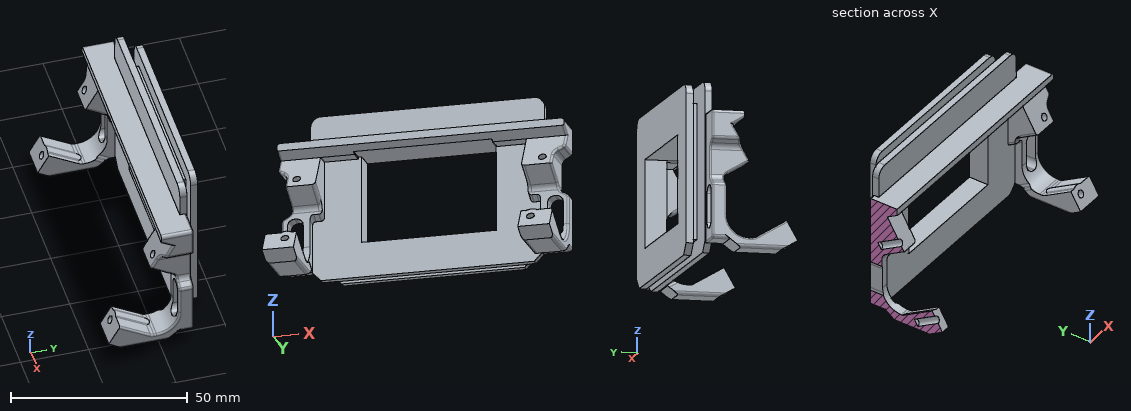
import cadquery as cq
import math

width = 84.4
depth = 29.45
height = 49.0
half_width = width / 2

plate_thickness = 2.1
spacer_thickness = 2.2
rear_width = 59.75
flange_width = 68.7
stack_shift = 0.4
spacer_inset = 5.0
plate_corner = 3.0
window_width = 39.5
window_bottom = 10.4
window_top = 35.9
bar_relief_width = 40.5

tilt = 30.0
bracket_back = -4.55
bar_front = -13.9
bar_top = 39.5
bar_lip = 2.3
notch_depth = 3.3
seat_length = 11.4
web_front = -8.8
web_bottom = 2.4
throat_radius = 2.0
hook_radius = 6.6
hook_center_z = 9.5
hook_tip_z = 2.6
hook_face_length = 6.7
hook_flat_rear = -12.8
web_heel_y = -9.7
block_width = 12.0
web_width = 8.4
hook_width = 9.3
edge_round = 0.6
rear_round = 0.4
corner_round = 1.0

step_level = 12.15
hook_step_level = -2.1

waist_depth = 3.0
waist_top = 31.2
waist_bottom = 18.2
waist_round = 2.0

slot_center = 4.05
slot_width = 4.55
slot_bottom = 5.9
slot_top = 18.2
slot_corner = 2.0
hole_diameter = 2.2
hole_depth = 8.0
hole_center = 6.2
upper_hole_z = 28.0
lower_hole_drop = 2.5
ridge_radius = 2.95

outer_x = -half_width
block_inner_x = outer_x + block_width
block_middle_x = outer_x + block_width / 2
web_inner_x = outer_x + web_width
hook_inner_x = outer_x + hook_width
hole_x = outer_x + hole_center

sin_tilt = math.sin(math.radians(tilt))
cos_tilt = math.cos(math.radians(tilt))
tan_tilt = math.tan(math.radians(tilt))

flange_back = -plate_thickness - spacer_thickness
flange_front = flange_back - plate_thickness

lip_z = bar_top - bar_lip
notch = (bar_front + notch_depth, lip_z - notch_depth * tan_tilt)
seat_tip = (notch[0] - seat_length * sin_tilt, notch[1] - seat_length * cos_tilt)
underside_corner = (web_front, seat_tip[1] - (web_front - seat_tip[0]) * tan_tilt)
hook_tip = (-depth, hook_tip_z)
hook_crest = (hook_tip[0] + hook_face_length * sin_tilt, hook_tip[1] + hook_face_length * cos_tilt)
hook_flat_front = hook_tip[0] + hook_tip[1] / tan_tilt

hook_center_y = web_front - hook_radius
hook_floor_z = hook_center_z - hook_radius
hook_end = (hook_crest[0] + (hook_crest[1] - hook_floor_z) / tan_tilt, hook_floor_z)


def tilted_plane(x, y, z):
    """Plane whose normal leaves the seats (-Y, +Z); its local Y runs along the seat, upward."""
    return cq.Plane(origin=(x, y, z), xDir=(1, 0, 0), normal=(0, -cos_tilt, sin_tilt))


def on_axis(x, level, reach):
    """Point at a height up the seat direction and a reach along the outward mounting axis."""
    return (x, level * sin_tilt - reach * cos_tilt, level * cos_tilt + reach * sin_tilt)


def middle(start, end):
    """Point halfway between two points of the side outline."""
    return ((start[0] + end[0]) / 2, (start[1] + end[1]) / 2)


def fillet_near(body, radius, *points):
    """Fillet, in one operation, the edges closest to the points and the edges tangent to them."""
    selector = cq.selectors.NearestToPointSelector(points[0])
    for point in points[1:]:
        selector = selector + cq.selectors.NearestToPointSelector(point)
    return body.edges(selector).fillet(radius)


def plate(plate_width, center_x, rear_y):
    """Full-height plate with rounded top corners and chamfered bottom corners."""
    body = cq.Workplane("XY").box(plate_width, plate_thickness, height, centered=(True, False, False))
    body = body.edges("|Y and >Z").fillet(plate_corner)
    body = body.edges("|Y and <Z").chamfer(plate_corner)
    return body.translate((center_x, rear_y - plate_thickness, 0))


def plate_stack():
    """Rear plate, spacer and front flange, with a groove left around the spacer."""
    spacer = cq.Workplane("XY").box(
        rear_width - 2 * spacer_inset,
        spacer_thickness,
        height - 2 * spacer_inset,
        centered=(True, False, False),
    )
    spacer = spacer.translate((stack_shift, flange_back, spacer_inset))
    rear = plate(rear_width, stack_shift, 0)
    flange = plate(flange_width, 0, flange_back)
    return rear.union(spacer).union(flange)


def bracket_blank():
    """Side outline of a bracket, swept along X from the left end of the part."""
    arc_reach = hook_radius * math.sqrt(0.5)
    arc_middle = (hook_center_y + arc_reach, hook_center_z - arc_reach)
    return (
        cq.Workplane("YZ", origin=(outer_x, 0, 0))
        .moveTo(bracket_back, bar_top)
        .lineTo(bar_front, bar_top)
        .lineTo(bar_front, lip_z)
        .lineTo(*notch)
        .lineTo(*seat_tip)
        .lineTo(*underside_corner)
        .lineTo(web_front, hook_center_z)
        .threePointArc(arc_middle, (hook_center_y, hook_floor_z))
        .lineTo(*hook_end)
        .lineTo(*hook_crest)
        .lineTo(*hook_tip)
        .lineTo(hook_flat_front, 0)
        .lineTo(hook_flat_rear, 0)
        .lineTo(web_heel_y, web_bottom)
        .lineTo(bracket_back, web_bottom)
        .close()
        .extrude(block_width)
    )


def inner_step_cut():
    """Stepped cut on the inner side, swept along the tilted mounting axis."""
    hook_shoulder_level = hook_step_level - (hook_width - web_width)
    cut = (
        cq.Workplane(tilted_plane(0, 0, 0))
        .moveTo(block_inner_x, step_level)
        .lineTo(web_inner_x, step_level)
        .lineTo(web_inner_x, hook_step_level)
        .lineTo(hook_inner_x, hook_shoulder_level)
        .lineTo(hook_inner_x, -height)
        .lineTo(0, -height)
        .lineTo(0, step_level + 2 * corner_round)
        .lineTo(block_inner_x, step_level + 2 * corner_round)
        .close()
        .extrude(height, both=True)
    )
    return fillet_near(
        cut,
        corner_round,
        on_axis(block_inner_x, step_level, 0),
        on_axis(web_inner_x, step_level, 0),
        on_axis(web_inner_x, hook_step_level, 0),
        on_axis(hook_inner_x, hook_shoulder_level, 0),
    )


def waist_cut():
    """Recess in the outer side between the block and the hook, with sloping ends."""
    run = waist_depth * tan_tilt
    cut = (
        cq.Workplane("XZ")
        .moveTo(outer_x, waist_top)
        .lineTo(outer_x + waist_depth, waist_top - run)
        .lineTo(outer_x + waist_depth, waist_bottom + run)
        .lineTo(outer_x, waist_bottom)
        .close()
        .extrude(depth)
    )
    return cut.edges("|Y and >X").fillet(waist_round)


def slot_cut():
    """Upright slot with rounded corners through the web."""
    slot_height = slot_top - slot_bottom
    slot = cq.Workplane("XY").box(slot_width, -hook_center_y, slot_height, centered=(True, False, False))
    slot = slot.edges("|Y").fillet(slot_corner)
    return slot.translate((outer_x + slot_center, hook_center_y, slot_bottom))


def screw_hole(y, z):
    """Blind hole drilled square into a seat at the given point."""
    return cq.Workplane(tilted_plane(hole_x, y, z)).circle(hole_diameter / 2).extrude(-hole_depth)


def upper_screw_hole():
    """Screw hole in the slanted seat of the block."""
    along = (notch[1] - upper_hole_z) * tan_tilt
    return screw_hole(notch[0] - along, upper_hole_z)


def lower_screw_hole():
    """Screw hole in the end face of the hook."""
    return screw_hole(
        hook_crest[0] - lower_hole_drop * sin_tilt,
        hook_crest[1] - lower_hole_drop * cos_tilt,
    )


def hook_ridge():
    """Round ridge over the lower screw hole, blended into the sloping top and run into the hook floor."""
    ridge_height = ridge_radius - lower_hole_drop
    blend_center_x = math.sqrt((ridge_radius + corner_round) ** 2 - (lower_hole_drop + corner_round) ** 2)
    ridge_share = ridge_radius / (ridge_radius + corner_round)
    seam_x = blend_center_x * ridge_share
    seam_y = (lower_hole_drop + corner_round) * ridge_share - lower_hole_drop
    blend_angle = math.atan2(blend_center_x, lower_hole_drop + corner_round) / 2
    blend_x = blend_center_x - corner_round * math.sin(blend_angle)
    blend_y = corner_round - corner_round * math.cos(blend_angle)
    length = math.dist(hook_crest, hook_end) + ridge_height / tan_tilt
    return (
        cq.Workplane(tilted_plane(hole_x, *hook_crest))
        .moveTo(-blend_center_x, 0)
        .threePointArc((-blend_x, blend_y), (-seam_x, seam_y))
        .threePointArc((0, ridge_height), (seam_x, seam_y))
        .threePointArc((blend_x, blend_y), (blend_center_x, 0))
        .close()
        .extrude(-length)
    )


def rounded_bracket_body():
    """Outer shape of the left bracket with its rounded edges."""
    underside = middle(seat_tip, underside_corner)
    heel_flat = ((web_heel_y + bracket_back) / 2, web_bottom)
    hook_flat = middle((hook_flat_front, 0), (hook_flat_rear, 0))
    upper_seat = (notch[0] - 0.85, notch[1] - 1.7)
    web_middle_z = (hook_center_z + waist_bottom) / 2
    waist_end_y = (web_front + bracket_back) / 2

    body = fillet_near(bracket_blank(), corner_round, (block_inner_x, *underside))
    body = fillet_near(body, throat_radius, (block_middle_x, *underside_corner))
    body = body.cut(inner_step_cut())
    body = fillet_near(
        body,
        corner_round,
        (outer_x, *heel_flat),
        (outer_x, *hook_flat),
        (hook_inner_x, *hook_flat),
        (outer_x, (bar_front + bracket_back) / 2, bar_top),
    )
    body = body.cut(waist_cut())
    body = fillet_near(
        body,
        corner_round,
        (outer_x, waist_end_y, waist_bottom),
        (outer_x, waist_end_y, waist_top),
    )
    body = fillet_near(body, throat_radius, (block_middle_x, *hook_end))
    return fillet_near(
        body,
        edge_round,
        (outer_x, *middle((bar_front, lip_z), notch)),
        (outer_x, *upper_seat),
        (outer_x, web_front, web_middle_z),
    )


def bracket():
    """Left bracket: block with a slanted seat, slotted web and hook."""
    web_middle_z = (hook_center_z + waist_bottom) / 2
    body = rounded_bracket_body().union(hook_ridge())
    body = fillet_near(body, rear_round, (outer_x, bracket_back, web_middle_z))
    return body.cut(slot_cut()).cut(upper_screw_hole()).cut(lower_screw_hole())


def crossbar():
    """Bar between the brackets, relieved underneath along the window."""
    bar = (
        cq.Workplane("YZ")
        .moveTo(flange_front, bar_top)
        .lineTo(bar_front, bar_top)
        .lineTo(bar_front, lip_z)
        .lineTo(*notch)
        .lineTo(flange_front, notch[1])
        .close()
        .extrude(half_width - block_width / 2, both=True)
    )
    relief = cq.Workplane("XY").box(bar_relief_width, depth, window_top, centered=(True, False, False))
    return bar.cut(relief.translate((0, -depth, 0)))


def window_cut():
    """Rectangular window through the plate stack."""
    window = cq.Workplane("XY").box(
        window_width,
        -flange_front,
        window_top - window_bottom,
        centered=(True, False, False),
    )
    return window.translate((stack_shift, flange_front, window_bottom))


left_bracket = bracket()
right_bracket = left_bracket.mirror("YZ")
result = plate_stack().cut(window_cut()).union(crossbar()).union(left_bracket).union(right_bracket)